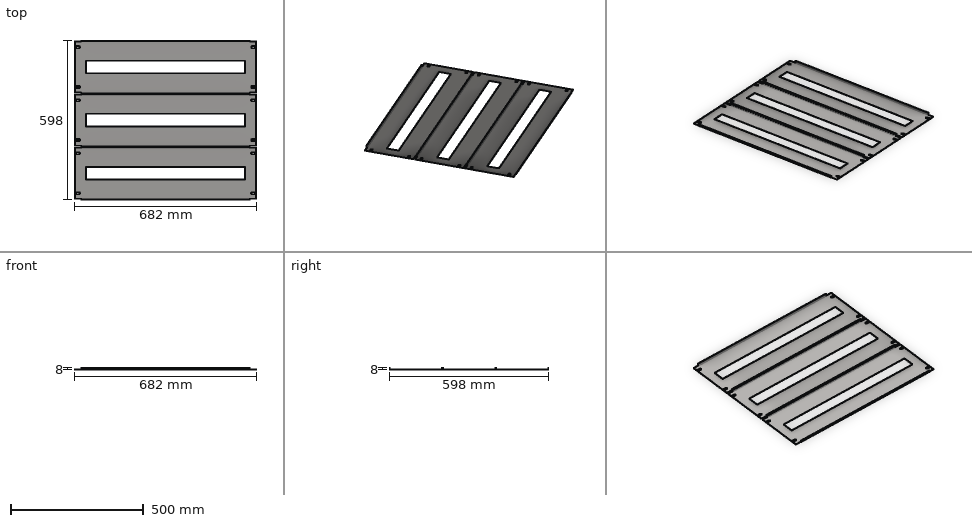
import cadquery as cq

panel_count = 3
row_depth = 598.0
panel_pitch = 200.0
panel_width = 682.0
panel_depth = row_depth - (panel_count - 1) * panel_pitch

sheet = 1.2
bend_radius = 3.0
flange_height = 8.0
flange_width = 635.0
flat_depth = panel_depth - 2 * bend_radius

window_width = 598.0
window_depth = 46.5

slot_length = 15.0
slot_width = 7.0
slot_spacing_x = 660.0
slot_spacing_y = 150.0


def flat_sheet():
    """Flat face of the panel, with its window and mounting slots."""
    plate = cq.Workplane("XY").rect(panel_width, flat_depth).extrude(sheet)
    window = cq.Workplane("XY").rect(window_width, window_depth).extrude(sheet)
    slots = (
        cq.Workplane("XY")
        .rect(slot_spacing_x, slot_spacing_y, forConstruction=True)
        .vertices()
        .slot2D(slot_length, slot_width)
        .extrude(sheet)
    )
    return plate.cut(window).cut(slots)


def rear_flange():
    """Upturned flange on the +Y edge, including its rounded bend."""
    bend_start = flat_depth / 2
    outer_face = panel_depth / 2
    inner_face = outer_face - sheet
    inside_radius = bend_radius - sheet
    return (
        cq.Workplane("YZ", origin=(-flange_width / 2, 0, 0))
        .moveTo(bend_start, 0)
        .radiusArc((outer_face, bend_radius), -bend_radius)
        .lineTo(outer_face, flange_height)
        .lineTo(inner_face, flange_height)
        .lineTo(inner_face, bend_radius)
        .radiusArc((bend_start, sheet), inside_radius)
        .close()
        .extrude(flange_width)
    )


def cover_panel():
    """One panel centred on the Z axis, with its underside at Z = 0."""
    rear = rear_flange()
    front = rear.mirror("XZ")
    return flat_sheet().union(rear).union(front)


panels = []
for index in range(panel_count):
    y_centre = (index - (panel_count - 1) / 2) * panel_pitch
    panels.append(cover_panel().translate((0, y_centre, 0)))

result = cq.Compound.makeCompound([panel.val() for panel in panels])